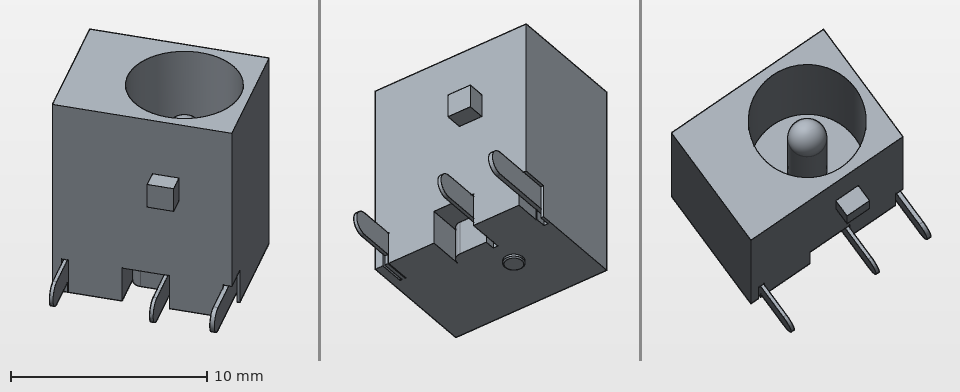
import cadquery as cq
import math


housing_width = 9.5
housing_depth = 7.0
housing_height = 11.5
left_x = -6.0
right_x = left_x + housing_width
front_y = -housing_depth / 2

socket_diameter = 6.0
socket_depth = 9.0
contact_diameter = 2.0
contact_tip_drop = 2.05

peg_side = 1.4
peg_length = 1.0
peg_drop = 4.0

blade_length = 2.7
blade_height = 1.4
blade_bottom = 0.6
blade_thickness = 0.2
right_blade_thickness = 0.25
blade_root = 3.16

recess_depth = 1.5
channel_depth = 2.11
slot_height = blade_bottom + blade_height
bay_left = -2.3
bay_right = 0.19
bay_height = 2.05
bay_radius = 0.55
left_slot_width = 0.36
left_slot_x = left_x + 0.67
left_blade_x = left_x + 0.7
right_slot_left = right_x - 0.46
right_blade_left = right_x - 0.41
right_blade_right = right_blade_left + right_blade_thickness
right_blade_x = (right_blade_left + right_blade_right) / 2

rivet_diameter = 1.15
rivet_height = 0.2
rivet_chamfer = 0.07
rivet_x = 0.12
rivet_y = 0.09


def block(x_min, x_max, y_min, y_max, z_min, z_max):
    """Box given by its limits along each axis."""
    size = (x_max - x_min, y_max - y_min, z_max - z_min)
    return cq.Workplane("XY").box(*size, centered=False).translate((x_min, y_min, z_min))


def front_recess(x_min, x_max, depth, height):
    """Cutter for a recess open at the front and at the bottom of the housing."""
    return block(x_min, x_max, front_y, front_y + depth, 0, height)


def terminal(x_center, thickness):
    """Flat blade with a fully rounded free end, rooted inside the housing."""
    tip_radius = blade_height / 2
    straight_length = blade_root + blade_length - tip_radius
    return (
        cq.Workplane("YZ", origin=(x_center - thickness / 2, front_y + blade_root, blade_bottom))
        .hLine(-straight_length)
        .threePointArc(
            (-straight_length - tip_radius, tip_radius),
            (-straight_length, blade_height),
        )
        .hLine(straight_length)
        .close()
        .extrude(thickness)
    )


housing = block(left_x, right_x, front_y, -front_y, 0, housing_height)
peg_center_z = housing_height - peg_drop
peg = block(
    -peg_side / 2,
    peg_side / 2,
    front_y - peg_length,
    front_y,
    peg_center_z - peg_side / 2,
    peg_center_z + peg_side / 2,
)
housing = housing.union(peg)

socket_floor = housing_height - socket_depth
bore = cq.Workplane("XY", origin=(0, 0, socket_floor)).circle(socket_diameter / 2).extrude(socket_depth)
housing = housing.cut(bore)

bay_back_y = front_y + recess_depth
arc_offset = bay_radius * (1 - math.sqrt(0.5))
bay = (
    cq.Workplane("XY")
    .moveTo(bay_right, front_y)
    .lineTo(bay_left, front_y)
    .lineTo(bay_left, bay_back_y + bay_radius)
    .threePointArc(
        (bay_left + arc_offset, bay_back_y + arc_offset),
        (bay_left + bay_radius, bay_back_y),
    )
    .lineTo(bay_right, bay_back_y)
    .close()
    .extrude(bay_height)
)
bay_channel = front_recess(-blade_thickness / 2, bay_right, channel_depth, bay_height)

left_slot = front_recess(
    left_slot_x - left_slot_width / 2, left_slot_x + left_slot_width / 2, recess_depth, slot_height
)
right_slot = front_recess(right_slot_left, right_x, recess_depth, slot_height)
right_channel = front_recess(right_blade_left, right_blade_right, channel_depth, slot_height)
for cutter in (bay, bay_channel, left_slot, right_slot, right_channel):
    housing = housing.cut(cutter)

left_web = front_recess(
    left_blade_x - blade_thickness / 2,
    left_blade_x + blade_thickness / 2,
    recess_depth,
    slot_height,
)

contact_radius = contact_diameter / 2
contact_length = socket_depth - contact_tip_drop - contact_radius
contact_tip = cq.Workplane("XY").sphere(contact_radius).translate((0, 0, socket_floor + contact_length))
contact = (
    cq.Workplane("XY", origin=(0, 0, socket_floor))
    .circle(contact_radius)
    .extrude(contact_length)
    .union(contact_tip)
)

rivet = (
    cq.Workplane("XY", origin=(rivet_x, rivet_y, -rivet_height))
    .circle(rivet_diameter / 2)
    .extrude(rivet_height)
    .faces("<Z")
    .chamfer(rivet_chamfer)
)

result = housing.union(left_web).union(contact).union(rivet)
for x_center, thickness in (
    (left_blade_x, blade_thickness),
    (0, blade_thickness),
    (right_blade_x, right_blade_thickness),
):
    result = result.union(terminal(x_center, thickness))